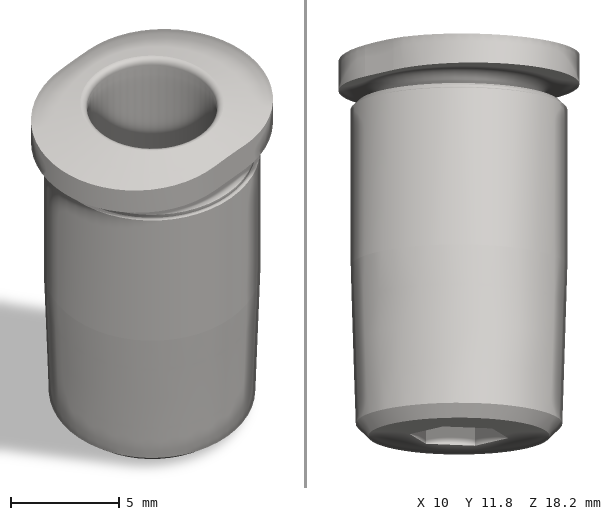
import cadquery as cq
import math

total_height = 18.2
flange_bottom = 16.42
ring_top = 15.65
body_top = 15.38
taper_top = 7.99
bottom_chamfer = 0.58

body_diameter = 10.0
taper_ratio = 1 / 16
ring_diameter = 9.6
ring_chamfer = 0.1
neck_diameter = 7.8
neck_fillet = 0.4

flange_length = 11.8
flange_width = 9.8
crown_angle = 10.0
crown_flat_diameter = 6.6

bore_diameter = 6.0
hex_across_flats = 4.0
hex_depth = 4.0


def make_body():
    """Revolve the tapered body, the ring and the filleted neck."""
    body_radius = body_diameter / 2
    ring_radius = ring_diameter / 2
    neck_radius = neck_diameter / 2
    taper_bottom_radius = body_radius - (taper_top - bottom_chamfer) * taper_ratio / 2
    arc_offset = neck_fillet * (1 - math.sqrt(0.5))
    return (
        cq.Workplane("XZ")
        .lineTo(taper_bottom_radius - bottom_chamfer, 0)
        .lineTo(taper_bottom_radius, bottom_chamfer)
        .lineTo(body_radius, taper_top)
        .lineTo(body_radius, body_top)
        .lineTo(ring_radius, body_top)
        .lineTo(ring_radius, ring_top - ring_chamfer)
        .lineTo(ring_radius - ring_chamfer, ring_top)
        .lineTo(neck_radius, ring_top)
        .lineTo(neck_radius, flange_bottom - neck_fillet)
        .threePointArc(
            (neck_radius + arc_offset, flange_bottom - arc_offset),
            (neck_radius + neck_fillet, flange_bottom),
        )
        .lineTo(0, flange_bottom)
        .close()
        .revolve(360, (0, 0, 0), (0, 1, 0))
    )


def make_flange():
    """Extrude the flange and trim its top to a shallow cone."""
    blank = (
        cq.Workplane("XY", origin=(0, 0, flange_bottom))
        .slot2D(flange_length, flange_width, 90)
        .extrude(total_height - flange_bottom)
    )
    crown_radius = crown_flat_diameter / 2
    outer_radius = flange_length / 2 + 0.18
    crown_drop = (outer_radius - crown_radius) * math.tan(math.radians(crown_angle))
    crown = (
        cq.Workplane("XZ", origin=(0, 0, flange_bottom))
        .lineTo(outer_radius, 0)
        .lineTo(outer_radius, total_height - flange_bottom - crown_drop)
        .lineTo(crown_radius, total_height - flange_bottom)
        .lineTo(0, total_height - flange_bottom)
        .close()
        .revolve(360, (0, 0, 0), (0, 1, 0))
    )
    return blank.intersect(crown)


def make_passage():
    """Bore with a rounded mouth, continued by the hexagonal socket."""
    bore_radius = bore_diameter / 2
    mouth_radius = crown_flat_diameter / 2
    mouth_fillet = mouth_radius - bore_radius
    arc_offset = mouth_fillet * (1 - math.sqrt(0.5))
    bore = (
        cq.Workplane("XZ")
        .moveTo(0, hex_depth)
        .lineTo(bore_radius, hex_depth)
        .lineTo(bore_radius, total_height - mouth_fillet)
        .threePointArc(
            (bore_radius + arc_offset, total_height - arc_offset),
            (mouth_radius, total_height),
        )
        .lineTo(0, total_height)
        .close()
        .revolve(360, (0, 0, 0), (0, 1, 0))
    )
    hex_across_corners = hex_across_flats / math.cos(math.radians(30))
    socket = (
        cq.Workplane("XY")
        .transformed(rotate=(0, 0, 90))
        .polygon(6, hex_across_corners)
        .extrude(hex_depth)
    )
    return bore.union(socket)


result = make_body().union(make_flange()).cut(make_passage())